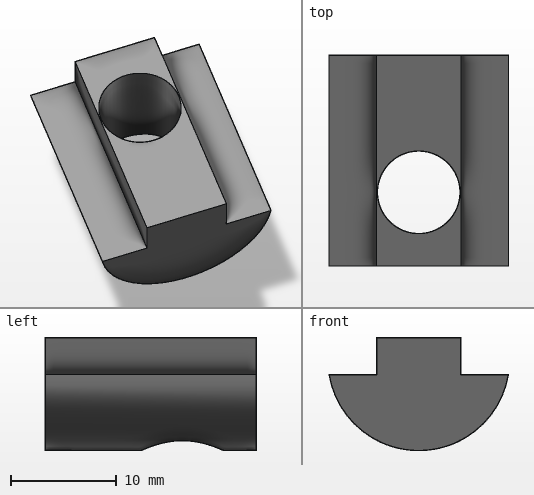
import cadquery as cq

length = 20.0
flange_width = 17.0
overall_height = 10.7
neck_width = 8.0
neck_height = 3.5
hole_diameter = 7.8
hole_from_front = 7.0

half_flange = flange_width / 2
half_neck = neck_width / 2
body_depth = overall_height - neck_height


def make_body():
    """T-nut profile with a round underside, extruded along Y about the origin."""
    profile = (
        cq.Workplane("XZ")
        .moveTo(-half_flange, 0)
        .threePointArc((0, -body_depth), (half_flange, 0))
        .lineTo(half_neck, 0)
        .lineTo(half_neck, neck_height)
        .lineTo(-half_neck, neck_height)
        .lineTo(-half_neck, 0)
        .close()
    )
    return profile.extrude(length / 2, both=True)


def make_hole():
    """Vertical cylinder that passes through the full height of the body."""
    hole_y = -length / 2 + hole_from_front
    return (
        cq.Workplane("XY", origin=(0, hole_y, -body_depth))
        .circle(hole_diameter / 2)
        .extrude(overall_height)
    )


result = make_body().cut(make_hole())